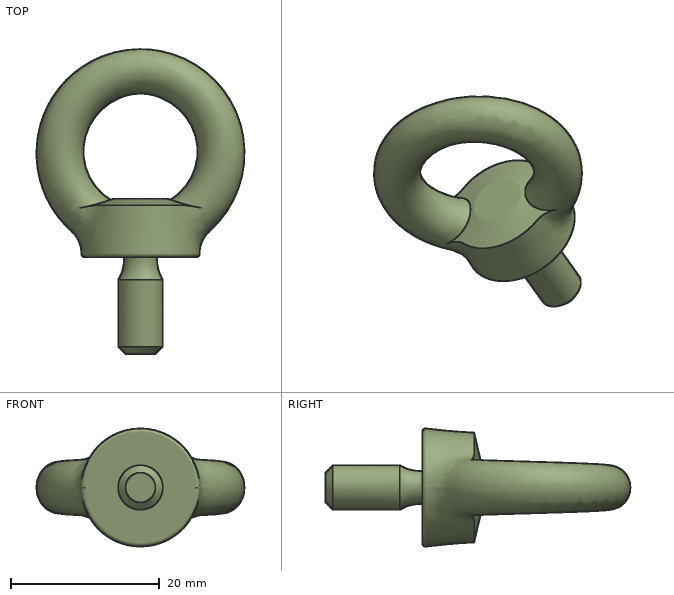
import math
import cadquery as cq


ring_outer_radius = 14.0
ring_center_y = 14.0
crown_thickness = 6.0
foot_thickness = 6.6
foot_depth = 7.75
ring_half_sweep = 155.0
ring_section_count = 8
seam_angles = (90, 450)

collar_radius = 8.0
collar_draft = 5.0
collar_edge_round = 0.5
shoulder_height = 7.0
collar_height = 7.9
collar_top_radius = 3.5
blend_radius = 4.0

shank_radius = 3.0
shank_length = 13.0
tip_chamfer = 1.0
neck_radius = 2.25
neck_length = 0.4
flare_end = 3.0

seat_overrun = 4.0
top_overrun = 2.0
excess_radius = 12.0


def side_radius(y):
    """Radius of the drafted collar side at height y."""
    return collar_radius - y * math.tan(math.radians(collar_draft))


def revolve_about_y(profile):
    return profile.close().revolve(360, (0, 0, 0), (0, 1, 0))


def ring_section(angle):
    """Elliptical section at an angle from the crown, touching the outer circle of the ring."""
    growth = angle / ring_half_sweep
    half_thickness = (crown_thickness + growth * (foot_thickness - crown_thickness)) / 2
    half_depth = (crown_thickness + growth * (foot_depth - crown_thickness)) / 2
    path_radius = ring_outer_radius - half_thickness
    turn = math.radians(angle)
    center = cq.Vector(path_radius * math.sin(turn), ring_center_y + path_radius * math.cos(turn), 0)
    tangent = cq.Vector(math.cos(turn), -math.sin(turn), 0)
    across = cq.Vector(0, 0, -1)
    return cq.Wire.makeEllipse(half_depth, half_thickness, center, tangent, across, *seam_angles)


def make_ring():
    """Two mirrored halves, each thickening from the crown to the foot."""
    step = ring_half_sweep / (ring_section_count - 1)
    sections = [ring_section(i * step) for i in range(ring_section_count)]
    half = cq.Workplane(cq.Solid.makeLoft(sections))
    return half.union(half.mirror("YZ"))


def make_long_collar():
    """Drafted collar running past its seat and its shoulder."""
    low = -seat_overrun
    high = collar_height + top_overrun
    return revolve_about_y(
        cq.Workplane("XY")
        .moveTo(0, low)
        .lineTo(side_radius(low), low)
        .lineTo(side_radius(high), high)
        .lineTo(0, high)
    )


def make_top_excess():
    """Space above the conical top, wide enough to hold the blends."""
    top_slope = (collar_height - shoulder_height) / (side_radius(shoulder_height) - collar_top_radius)
    rim_height = collar_height - top_slope * (excess_radius - collar_top_radius)
    ceiling = collar_height + top_overrun
    return revolve_about_y(
        cq.Workplane("XY")
        .moveTo(0, collar_height)
        .lineTo(collar_top_radius, collar_height)
        .lineTo(excess_radius, rim_height)
        .lineTo(excess_radius, ceiling)
        .lineTo(0, ceiling)
    )


def make_seat_excess():
    """Space below the flat seat."""
    return revolve_about_y(
        cq.Workplane("XY")
        .lineTo(excess_radius, 0)
        .lineTo(excess_radius, -seat_overrun)
        .lineTo(0, -seat_overrun)
    )


def make_blended_eye():
    """Ring blended into the collar side, with the collar trimmed to its seat and conical top."""
    ring = make_ring()
    body = make_long_collar().union(ring)
    body = body.faces("%CONE").edges("%BSPLINE").fillet(blend_radius)
    body = body.cut(make_top_excess().cut(ring)).cut(make_seat_excess())
    return body.faces("<Y").edges().fillet(collar_edge_round)


def make_shank():
    """Neck, concave flare, plain shank and chamfered tip, rooted inside the collar."""
    root = collar_edge_round
    return revolve_about_y(
        cq.Workplane("XY")
        .moveTo(0, root)
        .lineTo(neck_radius, root)
        .lineTo(neck_radius, -neck_length)
        .tangentArcPoint((shank_radius, -flare_end), relative=False)
        .lineTo(shank_radius, tip_chamfer - shank_length)
        .lineTo(shank_radius - tip_chamfer, -shank_length)
        .lineTo(0, -shank_length)
    )


result = make_blended_eye().union(make_shank())